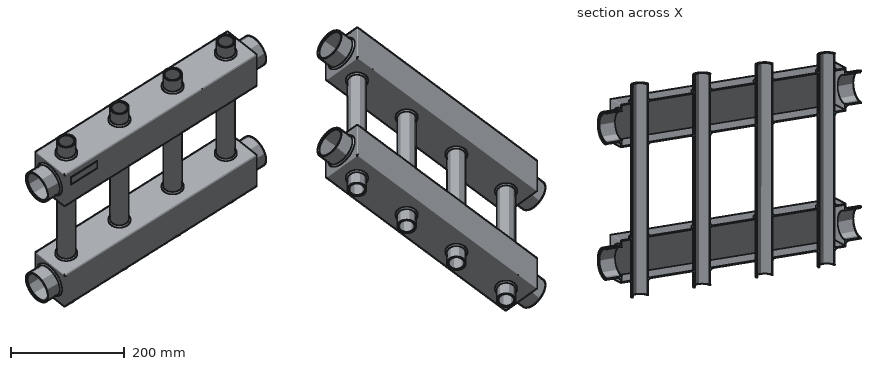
import cadquery as cq

header_width = 80.0
header_length = 453.0
header_spacing = 250.0
header_wall = 3.0
header_edge_radius = 4.0
end_edge_radius = 2.2
header_heights = (-header_spacing / 2, header_spacing / 2)

port_diameter = 60.0
port_bore = 53.0
port_mouth = 57.0
port_length = 30.0

riser_count = 4
riser_pitch = 125.0
riser_diameter = 33.5
riser_bore = 27.5
riser_mouth = 30.0
riser_tip_chamfer = 0.5
riser_overhang = 30.0
riser_length = header_spacing + header_width + 2 * riser_overhang
riser_positions = [(i - (riser_count - 1) / 2) * riser_pitch for i in range(riser_count)]

weld_leg = 3.0

plate_thickness = 0.55
plate_length = 62.0
plate_height = 18.0
plate_center_y = -181.0
plate_rise = 16.0
plate_center_z = header_heights[1] + plate_rise


def cylinder(diameter, length, start, direction):
    """Solid cylinder running from a start point along a direction."""
    return cq.Workplane(cq.Solid.makeCylinder(diameter / 2, length, cq.Vector(*start), cq.Vector(*direction)))


def weld_seam(pipe_diameter, start, direction):
    """Conical seam that narrows from the header face onto the pipe."""
    pipe_radius = pipe_diameter / 2
    return cq.Workplane(
        cq.Solid.makeCone(pipe_radius + weld_leg, pipe_radius, weld_leg, cq.Vector(*start), cq.Vector(*direction))
    )


def countersink(mouth_diameter, bore_diameter, start, inward):
    """45 degree bevel that narrows from the pipe mouth down to the bore."""
    depth = (mouth_diameter - bore_diameter) / 2
    return cq.Workplane(
        cq.Solid.makeCone(mouth_diameter / 2, bore_diameter / 2, depth, cq.Vector(*start), cq.Vector(*inward))
    )


def header_shell(z):
    """Closed hollow beam with rounded long edges and rounded rims on its square ends."""
    blank = cq.Workplane("XY").box(header_width, header_length, header_width)
    rounded_tube = blank.edges("|Y").fillet(header_edge_radius)
    rounded_ends = blank.faces("<Y or >Y").edges().fillet(end_edge_radius)
    outside = rounded_tube.intersect(rounded_ends)
    cavity_width = header_width - 2 * header_wall
    cavity = cq.Workplane("XY").box(cavity_width, header_length - 2 * header_wall, cavity_width)
    return outside.cut(cavity).translate((0, 0, z))


def header(z):
    """Header with its two end ports, all seams and the openings of the ports."""
    body = header_shell(z)
    for side in (-1, 1):
        cap_y = side * header_length / 2
        start = (0, cap_y, z)
        outward = (0, side, 0)
        body = body.union(cylinder(port_diameter, port_length, start, outward))
        body = body.union(weld_seam(port_diameter, start, outward))
        inner_face = (0, cap_y - side * header_wall, z)
        body = body.cut(cylinder(port_bore, header_wall + port_length, inner_face, outward))
        port_end = (0, cap_y + side * port_length, z)
        body = body.cut(countersink(port_mouth, port_bore, port_end, (0, -side, 0)))
        for y in riser_positions:
            body = body.union(weld_seam(riser_diameter, (0, y, z + side * header_width / 2), (0, 0, side)))
    return body


def riser(y):
    """Solid outside of a riser with lightly broken outer edges."""
    bottom = (0, y, -riser_length / 2)
    return cylinder(riser_diameter, riser_length, bottom, (0, 0, 1)).edges().chamfer(riser_tip_chamfer)


def riser_hole(y):
    """Through bore of a riser, widened by a bevel at each mouth."""
    hole = cylinder(riser_bore, riser_length, (0, y, -riser_length / 2), (0, 0, 1))
    for side in (-1, 1):
        mouth = (0, y, side * riser_length / 2)
        hole = hole.union(countersink(riser_mouth, riser_bore, mouth, (0, 0, -side)))
    return hole


def name_plate():
    """Thin rectangular plate lying on the header face."""
    center_x = header_width / 2 + plate_thickness / 2
    return (
        cq.Workplane("XY")
        .box(plate_thickness, plate_length, plate_height)
        .translate((center_x, plate_center_y, plate_center_z))
    )


result = header(header_heights[0]).union(header(header_heights[1]))
for y in riser_positions:
    result = result.union(riser(y))
for y in riser_positions:
    result = result.cut(riser_hole(y))
result = result.union(name_plate())